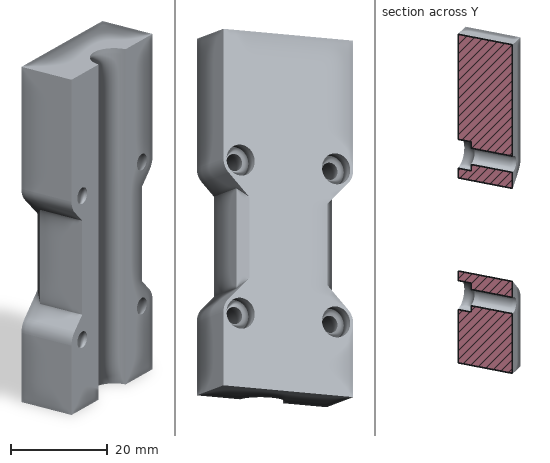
import cadquery as cq
import math

thickness = 12.5
width = 29.89
height = 75.0

groove_radius = 5.0
groove_axis_offset = 0.5

hole_spacing_y = 22.0
hole_spacing_z = 32.2
lower_hole_z = 15.5
hole_diameter = 3.6
counterbore_diameter = 6.5
counterbore_depth = 3.0

waist_width = hole_spacing_y
waist_chamfer = 2.0

back_x = -groove_axis_offset - thickness
middle_z = lower_hole_z + hole_spacing_z / 2

shoulder_radius = (width - hole_spacing_y) / 2
ramp_angle = math.radians(45)

hole_y = hole_spacing_y / 2
half_spacing_z = hole_spacing_z / 2


def make_block():
    """Plain rectangular block."""
    base_plane = cq.Workplane("XY", origin=(back_x, 0, 0))
    return base_plane.box(thickness, width, height, centered=(False, True, False))


def ramp_half_height(y):
    """Distance from the middle of the waist to the ramp at a given Y."""
    half_at_hole = half_spacing_z - shoulder_radius / math.cos(ramp_angle)
    return half_at_hole + (y - hole_y) * math.tan(ramp_angle)


def make_side_notch():
    """Notch on the +Y side, with rounded shoulders, cut through the thickness."""
    side_y = width / 2
    floor_y = waist_width / 2
    floor_half = ramp_half_height(floor_y)

    tangent_y = hole_y + shoulder_radius * math.sin(ramp_angle)
    tangent_half = half_spacing_z - shoulder_radius * math.cos(ramp_angle)
    arc_middle_angle = (math.pi / 2 - ramp_angle) / 2
    arc_middle_y = hole_y + shoulder_radius * math.cos(arc_middle_angle)
    arc_middle_half = half_spacing_z - shoulder_radius * math.sin(arc_middle_angle)

    return (
        cq.Workplane("YZ", origin=(back_x, 0, middle_z))
        .moveTo(side_y, -half_spacing_z)
        .threePointArc((arc_middle_y, -arc_middle_half), (tangent_y, -tangent_half))
        .lineTo(floor_y, -floor_half)
        .lineTo(floor_y, floor_half)
        .lineTo(tangent_y, tangent_half)
        .threePointArc((arc_middle_y, arc_middle_half), (side_y, half_spacing_z))
        .close()
        .extrude(thickness)
    )


def make_waist_bevel():
    """Bevel of the +Y waist edge at the -X face, ended by the planes of the ramps."""
    outer_y = waist_width / 2
    inner_y = outer_y - waist_chamfer
    outer_half = ramp_half_height(outer_y)
    inner_half = ramp_half_height(inner_y)

    wedge = (
        cq.Workplane("XY")
        .polyline([(back_x, inner_y), (back_x, outer_y), (back_x + waist_chamfer, outer_y)])
        .close()
        .extrude(height)
    )
    ramp_limits = (
        cq.Workplane("YZ", origin=(back_x, 0, middle_z))
        .polyline(
            [
                (inner_y, -inner_half),
                (outer_y, -outer_half),
                (outer_y, outer_half),
                (inner_y, inner_half),
            ]
        )
        .close()
        .extrude(waist_chamfer)
    )
    return wedge.intersect(ramp_limits)


def cut_waist(body):
    """Narrow the block on both sides."""
    for cutter in (make_side_notch(), make_waist_bevel()):
        body = body.cut(cutter).cut(cutter.mirror("XZ"))
    return body


def cut_groove(body):
    """Cut the round groove through the full height."""
    return body.cut(cq.Workplane("XY").circle(groove_radius).extrude(height))


def cut_screw_holes(body):
    """Cut the screw holes through the thickness, with counterbores on the -X face."""
    hole_plane = cq.Workplane("YZ", origin=(back_x, 0, middle_z)).rarray(
        hole_spacing_y, hole_spacing_z, 2, 2
    )
    holes = hole_plane.circle(hole_diameter / 2).extrude(thickness)
    counterbores = hole_plane.circle(counterbore_diameter / 2).extrude(counterbore_depth)
    return body.cut(holes).cut(counterbores)


result = cut_screw_holes(cut_groove(cut_waist(make_block())))